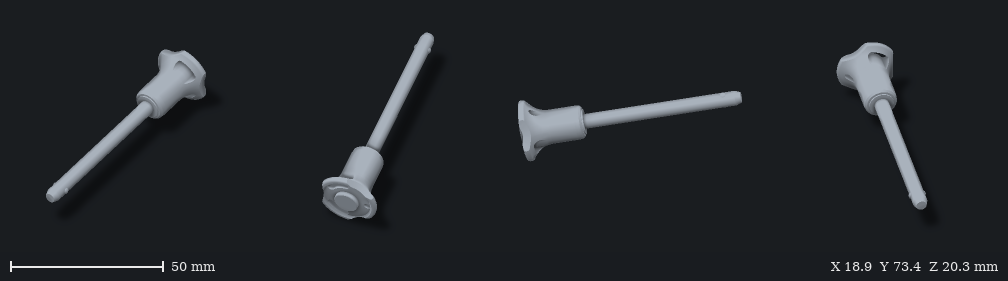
import cadquery as cq
import math

length = 73.4

shank_radius = 2.4
tip_diameter = 3.45
tip_radius = tip_diameter / 2
tip_length = 1.8
ball_radius = 1.3
ball_offset = 1.55
ball_from_tip = 5.65

button_radius = 4.1
button_height = 0.7
button_chamfer = 0.2
collar_end = 21.15

sleeve_diameter = 11.2
sleeve_radius = sleeve_diameter / 2
sleeve_end = 20.7
taper_start = 18.5
taper_end = 20.05
taper_radius = 5.4
nose_radius = 4.85

rim_diameter = 20.3
rim_radius = rim_diameter / 2
rim_round = 0.9
rim_back_round = 0.9
flare_end = 10.05
flare_radius = 8.4
dish_radius = 8.8
dish_floor_radius = 8.1
dish_depth = 0.7

lobe_angles = (60, 180, 300)
lobe_spacing = 120
lobe_half_angle = 29.0
scoop_depth_radius = 8.2
opening_radius = 7.0
opening_width = 2.3
slot_half_sweep = 25.0
slot_angles = (60, 300)
hole_angle = 180


def polar(radius, angle):
    """Point in the cross-section at an angle measured from +X towards +Z."""
    turn = math.radians(angle)
    return radius * math.cos(turn), radius * math.sin(turn)


def rod(radius, start, end):
    """Round bar on the pin axis between two stations."""
    return cq.Workplane("XZ").workplane(offset=start).circle(radius).extrude(end - start)


def lobed_blank():
    """Three-lobed prism that trims the handle with concave scoops."""
    outline = cq.Workplane("XZ").moveTo(*polar(rim_radius, lobe_angles[0] - lobe_half_angle))
    for angle in lobe_angles:
        outline = outline.threePointArc(
            polar(rim_radius, angle), polar(rim_radius, angle + lobe_half_angle)
        )
        scoop_angle = angle + lobe_spacing / 2
        outline = outline.threePointArc(
            polar(scoop_depth_radius, scoop_angle),
            polar(rim_radius, angle + lobe_spacing - lobe_half_angle),
        )
    return outline.close().extrude(sleeve_end)


def rim_edge(station):
    """Selector for the outer rim circle at a station."""
    margin = 0.1
    box = cq.selectors.BoxSelector(
        (-rim_radius, -station - margin, -rim_radius),
        (rim_radius, -station + margin, rim_radius),
    )
    return box & cq.selectors.RadiusNthSelector(-1)


def handle():
    """Dished, flared grip and sleeve, revolved and trimmed to three lobes."""
    flare_centre_radius = sleeve_radius + flare_radius

    def flare_station(radius):
        drop = flare_centre_radius - radius
        return flare_end - math.sqrt(flare_radius**2 - drop**2)

    middle_radius = (rim_radius + sleeve_radius) / 2
    rim_end = flare_station(rim_radius)
    floor = button_height + dish_depth
    body = (
        cq.Workplane("XY")
        .moveTo(0, -floor)
        .lineTo(dish_floor_radius, -floor)
        .lineTo(dish_radius, -button_height)
        .lineTo(rim_radius, -button_height)
        .lineTo(rim_radius, -rim_end)
        .threePointArc((middle_radius, -flare_station(middle_radius)), (sleeve_radius, -flare_end))
        .lineTo(sleeve_radius, -taper_start)
        .lineTo(taper_radius, -taper_end)
        .lineTo(nose_radius, -sleeve_end)
        .lineTo(0, -sleeve_end)
        .close()
        .revolve(360, (0, 0, 0), (0, 1, 0))
    )
    body = body.edges(rim_edge(rim_end)).fillet(rim_round)
    body = body.edges(rim_edge(button_height)).fillet(rim_back_round)
    return body.intersect(lobed_blank())


def curved_slot(angle):
    """Round-ended slot following an arc about the pin axis."""
    half_width = opening_width / 2
    inner = opening_radius - half_width
    outer = opening_radius + half_width
    first = angle - slot_half_sweep
    last = angle + slot_half_sweep
    cap_turn = math.degrees(2 * math.asin(half_width / (2 * opening_radius)))
    return (
        cq.Workplane("XZ")
        .moveTo(*polar(inner, first))
        .threePointArc(polar(inner, angle), polar(inner, last))
        .threePointArc(polar(opening_radius, last + cap_turn), polar(outer, last))
        .threePointArc(polar(outer, angle), polar(outer, first))
        .threePointArc(polar(opening_radius, first - cap_turn), polar(inner, first))
        .close()
        .extrude(flare_end)
    )


def round_opening():
    """Lanyard hole through the remaining lobe."""
    return (
        cq.Workplane("XZ")
        .center(*polar(opening_radius, hole_angle))
        .circle(opening_width / 2)
        .extrude(flare_end)
    )


def shank():
    """Pin shank with a conical tip and two opposed locking balls."""
    pin = rod(shank_radius, sleeve_end, length)
    pin = pin.faces("<Y").chamfer(tip_length, shank_radius - tip_radius)
    for side in (-1, 1):
        centre = (side * ball_offset, ball_from_tip - length, 0)
        pin = pin.union(cq.Workplane("XY").sphere(ball_radius).translate(centre))
    return pin


grip = handle().cut(round_opening())
for slot_angle in slot_angles:
    grip = grip.cut(curved_slot(slot_angle))

button = rod(button_radius, 0, flare_end).faces(">Y").chamfer(button_chamfer)
collar = rod(button_radius, taper_end, collar_end)

result = grip.union(button).union(collar).union(shank())